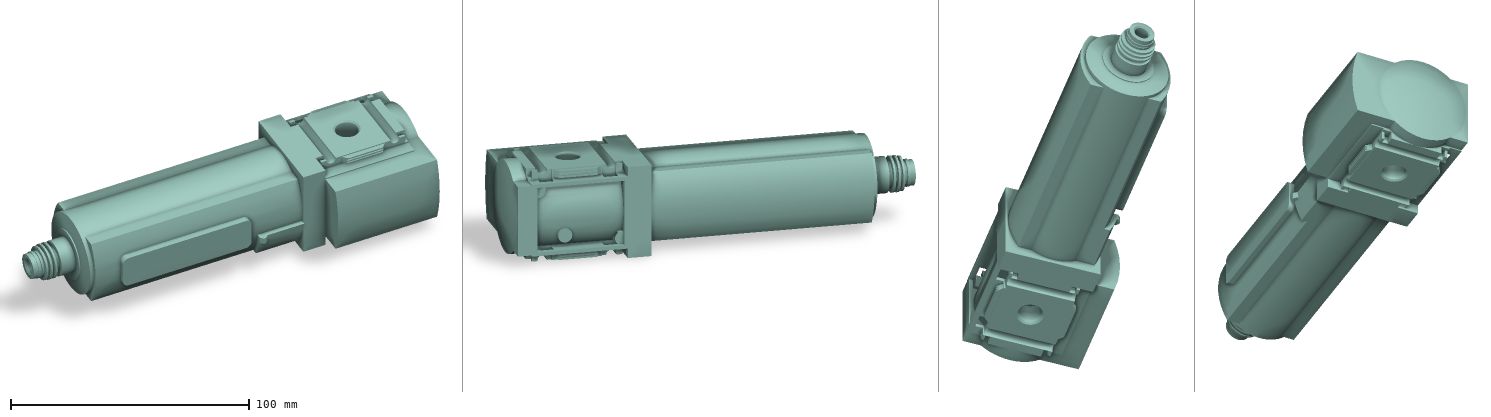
import cadquery as cq


total_length = 178.6
total_height = 40.2

head_left = -21.0
head_right = 20.9
half_height = total_height / 2
head_length = 58.0
flange_length = 10.4
slab_front = 52.2
slab_half_height = 15.4
frame_half_height = 15.9
dome_rise = 1.8

cover_right = 32.9
cover_edge_x = 30.4

window_front = 11.8
window_back = 49.5
window_half_height = 14.3
inner_radius = 19.1
stud_diameter = 6.0
stud_tip_x = -19.1
stud_places = [(37.0, -8.5), (48.5, 12.1), (12.3, -11.8)]

pad_half_width = 15.4
port_y = 30.9
groove_offset = 15.0
groove_radius = 2.1
neck_half_width = 11.6
pocket_floor = 16.6
post_width = 1.3
post_length = 2.5
pad_half_length = groove_offset + groove_radius
wing_half_width = 17.5
wing_half_length = 10.2
wing_chamfer = 2.1
wing_bottom = 16.6
wing_top = 19.6
wing_groove = 0.5
wing_groove_count = 2
port_diameter = 10.0
port_mouth_diameter = 11.5
port_depth = 10.7
port_chamfer = (port_mouth_diameter - port_diameter) / 2

slot_left = -18.8
slot_right = -14.6
slot_offset = 14.0
slot_length = 6.0

bowl_radius = 18.2
bowl_end = -98.8
side_end = -97.0
left_reach = 20.2
right_reach = 19.8
side_edge_x = 15.5
side_half_height = slab_half_height
cone_end = -99.8
nose_end = -100.4
nose_radius = 11.3

tip_end = head_length + dome_rise - total_length
collar_radius = 7.9
collar_end = -106.8
stem_radius = 5.7
barb_radius = 7.9
last_barb_radius = 7.5
barb_length = 0.9
barb_fronts = [-108.8, -111.0, -112.9]
neck_radius = 5.2
neck_start = -114.8
lip_start = -115.4
tip_start = -116.6
lip_radius = 5.9
tip_radius = 5.5
drain_diameter = 6.0
drain_depth = 14.3
drain_chamfer = 0.7

latch_end = -20.9
latch_thickness = 2.1
latch_top = -4.3
knob_front = -17.3
knob_bottom = -7.1
knob_tip = 23.0
knob_chamfer = 1.3
strip_back = -24.8
strip_front = -85.2
strip_inner_x = 19.1
strip_outer_x = 22.0
strip_half_height = 7.3
strip_corner = 2.7


def box(x0, x1, y0, y1, z0, z1):
    """Box given by its limits along each axis."""
    return cq.Workplane("XY").box(x1 - x0, y1 - y0, z1 - z0, centered=False).translate((x0, y0, z0))


def cylinder(radius, y0, y1):
    """Cylinder on the long axis between two y stations."""
    return cq.Workplane("XZ", origin=(0, y1, 0)).circle(radius).extrude(y1 - y0)


def prism(outline, y0, y1):
    """Extrude an outline drawn in the XZ plane from y1 down to y0."""
    return outline(cq.Workplane("XZ", origin=(0, y1, 0))).close().extrude(y1 - y0)


def mirrored_z(shape):
    """The shape together with its mirror image below."""
    return shape.union(shape.mirror("XY"))


def head_block():
    flange = box(head_left, head_right, 0, flange_length, -half_height, half_height)
    frame = box(head_left, head_right, flange_length, slab_front, -frame_half_height, frame_half_height)
    slab = box(head_left, head_right, slab_front, head_length, -slab_half_height, slab_half_height)
    dome_mid_x = half_height / 2
    dome_mid_y = head_length + dome_rise * 3 / 4
    cap = (
        cq.Workplane("XY")
        .moveTo(0, slab_front)
        .lineTo(half_height, slab_front)
        .lineTo(half_height, head_length)
        .threePointArc((dome_mid_x, dome_mid_y), (0, head_length + dome_rise))
        .close()
        .revolve(360, (0, 0, 0), (0, 1, 0))
    )
    return flange.union(frame).union(slab).union(cap)


def cover():
    def outline(plane):
        return (
            plane.moveTo(head_right, -slab_half_height)
            .lineTo(cover_edge_x, -slab_half_height)
            .threePointArc((cover_right, 0), (cover_edge_x, slab_half_height))
            .lineTo(head_right, slab_half_height)
        )

    return prism(outline, flange_length, head_length)


def window():
    opening = box(head_left, 0, window_front, window_back, -window_half_height, window_half_height)
    opening = opening.cut(cylinder(inner_radius, window_front, window_back))
    for y, z in stud_places:
        stud = cq.Workplane("YZ", origin=(stud_tip_x, y, z)).circle(stud_diameter / 2).extrude(-stud_tip_x)
        opening = opening.cut(stud)
    return opening


def port_pad():
    """Raised pad with side wings, necks to the flange and slab, and corner posts."""
    y0 = port_y - pad_half_length
    y1 = port_y + pad_half_length
    base = frame_half_height
    pad = box(-pad_half_width, pad_half_width, y0, y1, base, half_height)
    pad = pad.union(box(-neck_half_width, neck_half_width, flange_length, slab_front, base, half_height))
    pad = pad.union(box(-pad_half_width, pad_half_width, flange_length, slab_front, base, pocket_floor))
    post_xs = (-pad_half_width, pad_half_width - post_width)
    for x in post_xs:
        pad = pad.union(box(x, x + post_width, y0 - post_length, y1 + post_length, base, half_height))
    wings = (
        box(-wing_half_width, wing_half_width, port_y - wing_half_length, port_y + wing_half_length,
            wing_bottom, wing_top)
        .edges("|Z").chamfer(wing_chamfer)
    )
    return pad.union(wings).cut(wing_grooves())


def wing_grooves():
    """Shallow lengthwise grooves, evenly spaced over the outer face of each wing."""
    lands = wing_groove_count + 1
    spacing = (wing_top - wing_bottom - wing_groove_count * wing_groove) / lands
    grooves = cq.Workplane("XY")
    for side in (-1, 1):
        x = side * wing_half_width
        for row in range(wing_groove_count):
            z = wing_bottom + spacing + row * (spacing + wing_groove)
            grooves = grooves.union(box(x - wing_groove, x + wing_groove, port_y - wing_half_length,
                                        port_y + wing_half_length, z, z + wing_groove))
    return grooves


def pad_grooves():
    grooves = cq.Workplane("XY")
    for side in (-1, 1):
        y = port_y + side * groove_offset
        groove = (
            cq.Workplane("YZ", origin=(-pad_half_width, y, half_height))
            .circle(groove_radius)
            .extrude(2 * pad_half_width)
        )
        grooves = grooves.union(groove)
    return grooves


def port():
    hole = (
        cq.Workplane("XY", origin=(0, port_y, half_height - port_depth))
        .circle(port_diameter / 2)
        .extrude(port_depth)
    )
    mouth = cq.Solid.makeCone(
        port_diameter / 2, port_mouth_diameter / 2, port_chamfer,
        pnt=cq.Vector(0, port_y, half_height - port_chamfer),
    )
    return hole.union(cq.Workplane(mouth))


def frame_slots():
    slots = cq.Workplane("XY")
    for side in (-1, 1):
        y = port_y + side * slot_offset
        slots = slots.union(
            box(slot_left, slot_right, y - slot_length / 2, y + slot_length / 2, 0, half_height)
        )
    return slots.cut(cylinder(inner_radius, 0, head_length))


def build_head():
    head = head_block().union(cover()).union(mirrored_z(port_pad()))
    cuts = pad_grooves().union(port()).union(frame_slots())
    return head.cut(window()).cut(mirrored_z(cuts))


def bowl_body():
    def outline(plane):
        return (
            plane.moveTo(-side_edge_x, -side_half_height)
            .lineTo(side_edge_x, -side_half_height)
            .threePointArc((right_reach, 0), (side_edge_x, side_half_height))
            .lineTo(-side_edge_x, side_half_height)
            .threePointArc((-left_reach, 0), (-side_edge_x, -side_half_height))
        )

    return prism(outline, side_end, 0).union(cylinder(bowl_radius, bowl_end, 0))


def spigot():
    """Nose cone with its end step, collar, barbed stem, lip and tip, turned about the long axis."""
    profile = [
        (0, bowl_end),
        (bowl_radius, bowl_end),
        (nose_radius, cone_end),
        (nose_radius, nose_end),
        (collar_radius, nose_end),
        (collar_radius, collar_end),
        (stem_radius, collar_end),
        (stem_radius, neck_start),
        (neck_radius, neck_start),
        (neck_radius, lip_start),
        (lip_radius, lip_start),
        (lip_radius, tip_start),
        (tip_radius, tip_start),
        (tip_radius, tip_end),
        (0, tip_end),
    ]
    turned = cq.Workplane("XY").polyline(profile).close().revolve(360, (0, 0, 0), (0, 1, 0))
    for y, radius in zip(barb_fronts, (barb_radius, barb_radius, last_barb_radius)):
        turned = turned.union(cylinder(radius, y - barb_length, y))
    return turned


def drain_hole():
    hole = cylinder(drain_diameter / 2, tip_end, tip_end + drain_depth)
    mouth = cq.Solid.makeCone(
        drain_diameter / 2 + drain_chamfer, drain_diameter / 2, drain_chamfer,
        pnt=cq.Vector(0, tip_end, 0), dir=cq.Vector(0, 1, 0),
    )
    return hole.union(cq.Workplane(mouth))


def side_arc_radius():
    sag = right_reach - side_edge_x
    return (side_half_height ** 2 + sag ** 2) / (2 * sag)


def latch():
    """Curved plate following the side of the bowl, with a knob at its free end."""
    radius = side_arc_radius()
    centre_x = right_reach - radius
    shell = (
        cq.Workplane("XZ")
        .center(centre_x, 0)
        .circle(radius + latch_thickness)
        .circle(radius)
        .extrude(-latch_end)
    )
    plate = shell.intersect(box(0, cover_right, latch_end, 0, -side_half_height, latch_top))
    knob = box(right_reach, knob_tip, latch_end, knob_front, knob_bottom, latch_top)
    return plate.union(knob.edges(">X and |Z").chamfer(knob_chamfer))


def sight_strip():
    strip = box(strip_inner_x, strip_outer_x, strip_front, strip_back, -strip_half_height, strip_half_height)
    return strip.edges("|X").fillet(strip_corner)


def build_bowl():
    bowl = bowl_body().union(spigot()).union(latch()).union(sight_strip())
    return bowl.cut(drain_hole())


head = build_head()
bowl = build_bowl()
result = cq.Compound.makeCompound([*head.solids().vals(), *bowl.solids().vals()])